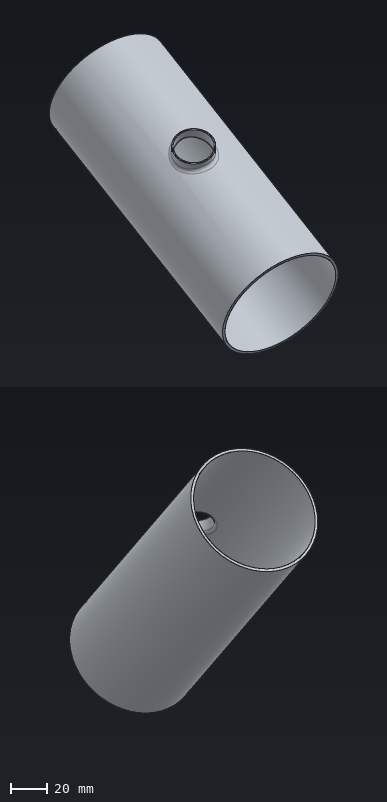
import cadquery as cq

pipe_length = 180.0
pipe_outer_diameter = 76.1
pipe_bore_diameter = 72.7

branch_outer_diameter = 24.5
branch_bore_diameter = 22.9
overall_height = 82.0
branch_top = overall_height - pipe_outer_diameter / 2

blend_radius = 2.2


def pipe_cylinder(diameter):
    """Full-length cylinder along the pipe axis."""
    return (
        cq.Workplane("YZ")
        .circle(diameter / 2)
        .extrude(pipe_length / 2, both=True)
    )


def branch_cylinder(diameter):
    """Cylinder from the pipe axis up to the branch mouth."""
    return cq.Workplane("XY").circle(diameter / 2).extrude(branch_top)


def blend_joint(shape, pipe_diameter):
    """Round the edge where the branch meets a pipe surface of the given diameter."""
    joint_box = cq.selectors.BoxSelector(
        (-branch_outer_diameter, -branch_outer_diameter, 0),
        (branch_outer_diameter, branch_outer_diameter, (branch_top + pipe_diameter / 2) / 2),
    )
    return shape.edges(joint_box).fillet(blend_radius)


outside = blend_joint(
    pipe_cylinder(pipe_outer_diameter).union(branch_cylinder(branch_outer_diameter)),
    pipe_outer_diameter,
)
inside = blend_joint(
    pipe_cylinder(pipe_bore_diameter).union(branch_cylinder(branch_bore_diameter)),
    pipe_bore_diameter,
)

result = outside.cut(inside)